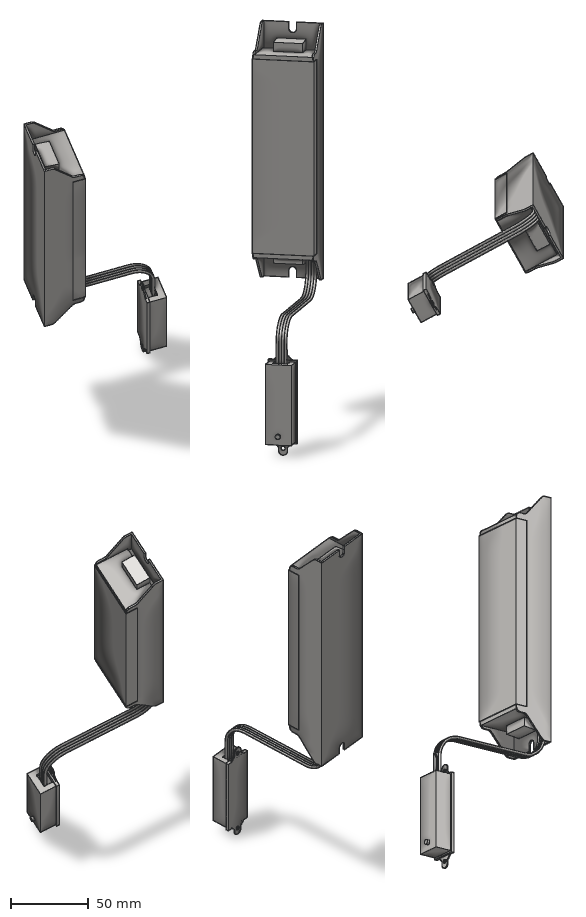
import cadquery as cq
import math


housing_height = 168.0
housing_width = 40.5
housing_depth = 27.5
sheet = 1.2
housing_middle = housing_height / 2
end_flat_depth = 6.2
slope_end_depth = 20.0
shoulder_drop = 15.5
slope_fillet = 3.2
corner_radius = 3.2
notch_width = 5.0
notch_depth = 7.0

block_height = 133.5
block_front = 4.0
core_inset = 2.7

cover_height = 128.0
cover_front = 19.5
cover_back = 28.0
cover_proud = 0.3

wedge_width = 19.5
wedge_depth = 9.7
wedge_low_drop = 11.3
wedge_tilt = 6

box_center_x = -12.0
box_center_z = -65.7
flange_front = 78.0
flange_width = 18.9
flange_height = 55.0
flange_thickness = 2.2
box_width = 17.2
box_height = 52.8
box_back = 91.9
mount_thickness = 0.8
mount_length = 71.0
ear_radius = 3.0
ear_root_half_width = 6.0
ear_neck_height = 3.0
ear_hole_diameter = 2.7
ear_hole_inset = 4.5
button_diameter = 3.2
button_length = 2.0
button_z = -86.5
recess_width = 9.7
recess_depth = 2.7
recess_back = 87.0

wire_count = 4
wire_diameter = 1.83
wire_pitch = 1.8
wires_center_x = -12.7
wire_top_y = 2.2
wire_box_y = 85.0
wire_run_z = -10.8
wire_bend_radius = 15.5
wire_embed = 0.8


def box_between(x_min, x_max, y_min, y_max, z_min, z_max):
    size = (x_max - x_min, y_max - y_min, z_max - z_min)
    return cq.Workplane("XY").box(*size, centered=False).translate((x_min, y_min, z_min))


def centered_box(width, y_min, y_max, height, center_x=0, center_z=housing_middle):
    return box_between(center_x - width / 2, center_x + width / 2, y_min, y_max,
                       center_z - height / 2, center_z + height / 2)


def make_housing():
    top = housing_height
    profile = (
        cq.Workplane("YZ")
        .polyline([
            (0, 0),
            (end_flat_depth, 0),
            (slope_end_depth, shoulder_drop),
            (housing_depth, shoulder_drop),
            (housing_depth, top - shoulder_drop),
            (slope_end_depth, top - shoulder_drop),
            (end_flat_depth, top),
            (0, top),
        ])
        .close()
        .extrude(housing_width / 2, both=True)
    )
    slope_ends = profile.edges("|X").edges(
        cq.selectors.BoxSelector((-housing_width, sheet, -sheet),
                                 (housing_width, housing_depth - sheet, top + sheet))
    )
    profile = slope_ends.fillet(slope_fillet)
    profile = profile.edges("|X and >Y").fillet(corner_radius)
    cavity = box_between(-housing_width / 2 + sheet, housing_width / 2 - sheet,
                         sheet, housing_depth, 0, top)
    housing = profile.cut(cavity)
    for end_z in (0, top):
        notch = (
            cq.Workplane("XZ", origin=(0, 0, end_z))
            .slot2D(2 * notch_depth, notch_width, 90)
            .extrude(-sheet)
        )
        housing = housing.cut(notch)
    return housing


def make_block():
    inner_width = housing_width - sheet
    block = centered_box(inner_width, block_front, housing_depth, block_height)
    core = centered_box(inner_width, sheet / 2, block_front, block_height - 2 * core_inset)
    cover = centered_box(housing_width + 2 * cover_proud, cover_front, cover_back, cover_height)
    low_z = housing_height - wedge_low_drop
    high_z = low_z + wedge_depth * math.tan(math.radians(wedge_tilt))
    wedges = (
        cq.Workplane("YZ")
        .polyline([
            (block_front, housing_height - high_z),
            (block_front + wedge_depth, housing_height - low_z),
            (block_front + wedge_depth, low_z),
            (block_front, high_z),
        ])
        .close()
        .extrude(wedge_width / 2, both=True)
    )
    return block.union(core).union(cover).union(wedges)


def make_mount():
    """Mounting plate with a rounded, drilled ear at each end."""
    back = -mount_thickness
    workplane = cq.Workplane("XZ", origin=(box_center_x, flange_front, box_center_z))
    half_length = mount_length / 2
    root = flange_height / 2
    neck = root + ear_neck_height
    round_center = half_length - ear_radius
    mount = (
        workplane
        .moveTo(ear_root_half_width, 0)
        .lineTo(ear_root_half_width, root)
        .lineTo(ear_radius, neck)
        .lineTo(ear_radius, round_center)
        .threePointArc((0, half_length), (-ear_radius, round_center))
        .lineTo(-ear_radius, neck)
        .lineTo(-ear_root_half_width, root)
        .lineTo(-ear_root_half_width, 0)
        .mirrorX()
        .extrude(back)
    )
    hole_z = half_length - ear_hole_inset
    holes = workplane.pushPoints([(0, -hole_z), (0, hole_z)]).circle(ear_hole_diameter / 2).extrude(back)
    return mount.cut(holes)


def make_switch_box():
    flange_back = flange_front + flange_thickness
    flange = centered_box(flange_width, flange_front, flange_back, flange_height, box_center_x, box_center_z)
    box = centered_box(box_width, flange_back, box_back, box_height, box_center_x, box_center_z)
    box_top = box_center_z + box_height / 2
    recess = centered_box(recess_width, flange_back, recess_back, 2 * recess_depth, box_center_x, box_top)
    button = (
        cq.Workplane("XZ", origin=(box_center_x, box_back, button_z))
        .circle(button_diameter / 2)
        .extrude(-button_length)
    )
    return flange.union(box.cut(recess)).union(make_mount()).union(button)


def quarter_bend(center_y, center_z, reach):
    """Vertical-tangent, middle and horizontal-tangent points of a bend; reach is the signed radius."""
    diagonal = reach * math.sqrt(0.5)
    return (
        (center_y + reach, center_z),
        (center_y + diagonal, center_z + diagonal),
        (center_y, center_z + reach),
    )


def make_wire(x):
    """One wire from the block's core strip, back over the gap and down into the switch box."""
    start_z = housing_middle - block_height / 2 + core_inset + wire_embed
    end_z = box_center_z + box_height / 2 - recess_depth - wire_embed
    radius = wire_bend_radius
    upper_bend = quarter_bend(wire_top_y + radius, wire_run_z + radius, -radius)
    lower_bend = quarter_bend(wire_box_y - radius, wire_run_z - radius, radius)
    path = (
        cq.Workplane("YZ", origin=(x, 0, 0))
        .moveTo(wire_top_y, start_z)
        .lineTo(*upper_bend[0])
        .threePointArc(upper_bend[1], upper_bend[2])
        .lineTo(*lower_bend[2])
        .threePointArc(lower_bend[1], lower_bend[0])
        .lineTo(wire_box_y, end_z)
    )
    return cq.Workplane("XY", origin=(x, wire_top_y, start_z)).circle(wire_diameter / 2).sweep(path)


result = make_housing().union(make_block()).union(make_switch_box())
for index in range(wire_count):
    wire_x = wires_center_x + (index - (wire_count - 1) / 2) * wire_pitch
    result = result.union(make_wire(wire_x))